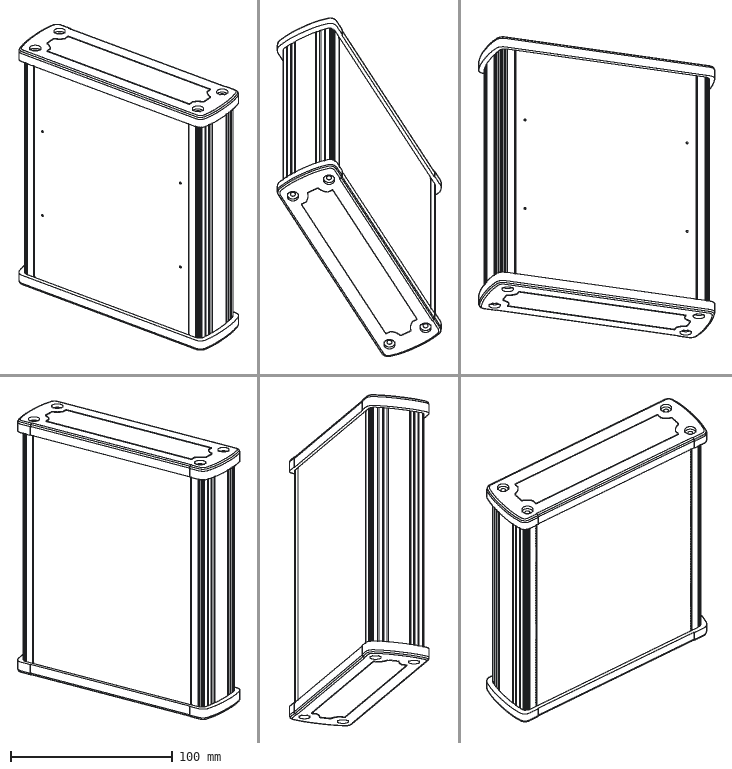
import cadquery as cq
import math

overall_width = 146.64
overall_depth = 41.6
overall_height = 169.0
cap_height = 7.6
body_height = overall_height - 2 * cap_height
cap_base_z = body_height / 2

cap_half_x = overall_width / 2
cap_half_y = overall_depth / 2
cap_straight_x = 66.8
cap_flat_y = 2.8
cap_side_end_x = 71.6
cap_side_end_y = 16.7

rim_height = 1.8
rim_width = 1.6
steep_bevel_height = 1.15
steep_bevel_width = 0.47
shallow_bevel_height = rim_height - steep_bevel_height
shallow_bevel_width = rim_width - steep_bevel_width
wall_height = cap_height - rim_height
shallow_bevel_z = wall_height + steep_bevel_height

relief_half_x = 59.9
relief_depth = 0.4

screw_x = 62.5
screw_y = 12.75
screw_diameter = 3.0
screw_head_diameter = 7.0
screw_head_depth = 2.2

label_half_x = 60.3
label_half_y = 11.1
label_shoulder_x = 54.7
label_screw_clearance = 9.3
label_depth = 0.4
label_corner_radius = 0.5

body_half_x = 69.9
body_half_y = 18.2
body_straight_x = 64.4
body_flat_y = 2.2
body_side_end_x = 68.3
body_side_end_y = 16.3

panel_groove_x = 59.4
panel_groove_width = 0.65
panel_groove_depth = 0.8
fine_groove_radius = 0.35
side_groove_ys = (7.4, 10.3, 13.4)
corner_groove_count = 4
channel_y = 8.95
channel_radius = 1.65
channel_depth = 0.3

pin_hole_x = 53.0
pin_hole_z = 30.2
pin_hole_diameter = 1.2
pin_hole_depth = 2.0

quadrants = [(sx, sy) for sx in (-1, 1) for sy in (-1, 1)]


def in_all_quadrants(x, y):
    return [(sx * x, sy * y) for sx, sy in quadrants]


screw_points = in_all_quadrants(screw_x, screw_y)


def tangent_arc_point(run, drop, fraction):
    """Step along and away from a straight line, on an arc that leaves the line tangentially.

    The whole arc runs along the line by run and falls away from it by drop.
    """
    radius = (run ** 2 + drop ** 2) / (2 * drop)
    angle = fraction * 2 * math.atan2(drop, run)
    return radius * math.sin(angle), radius * (1 - math.cos(angle))


class BowedOutline:
    """Long outline with straight front and back, bowed sides and rounded corners."""

    def __init__(self, half_x, half_y, straight_x, flat_y, side_end_x, side_end_y):
        self.half_x = half_x
        self.half_y = half_y
        self.straight_x = straight_x
        self.flat_y = flat_y
        self.side_end_x = side_end_x
        self.side_end_y = side_end_y

    def corner_point(self, fraction):
        """Point on the corner arc, from the straight edge to the side."""
        run, drop = tangent_arc_point(
            self.side_end_x - self.straight_x, self.half_y - self.side_end_y, fraction)
        return self.straight_x + run, self.half_y - drop

    def bow_point(self, fraction):
        """Point on the side arc, from the flat in the middle of the side to the corner."""
        run, drop = tangent_arc_point(
            self.side_end_y - self.flat_y, self.half_x - self.side_end_x, fraction)
        return self.half_x - drop, self.flat_y + run

    def side_x(self, y):
        """X of the side arc at distance y from the middle."""
        run = self.side_end_y - self.flat_y
        drop = self.half_x - self.side_end_x
        radius = (run ** 2 + drop ** 2) / (2 * drop)
        return self.half_x - radius + math.sqrt(radius ** 2 - (y - self.flat_y) ** 2)

    def add_side(self, sketch, sign):
        """Right side going up for sign 1, left side going down for sign -1."""

        def place(point, sy):
            return sign * point[0], sign * sy * point[1]

        corner_middle = self.corner_point(0.5)
        corner_end = (self.side_end_x, self.side_end_y)
        bow_middle = self.bow_point(0.5)
        flat_end = (self.half_x, self.flat_y)
        straight_end = (self.straight_x, self.half_y)
        sketch = sketch.threePointArc(place(corner_middle, -1), place(corner_end, -1))
        sketch = sketch.threePointArc(place(bow_middle, -1), place(flat_end, -1))
        sketch = sketch.lineTo(*place(flat_end, 1))
        sketch = sketch.threePointArc(place(bow_middle, 1), place(corner_end, 1))
        return sketch.threePointArc(place(corner_middle, 1), place(straight_end, 1))

    def wire(self):
        sketch = cq.Workplane("XY").moveTo(-self.straight_x, -self.half_y)
        sketch = sketch.lineTo(self.straight_x, -self.half_y)
        sketch = self.add_side(sketch, 1)
        sketch = sketch.lineTo(-self.straight_x, self.half_y)
        return self.add_side(sketch, -1).close()


cap_outline = BowedOutline(
    cap_half_x, cap_half_y, cap_straight_x, cap_flat_y, cap_side_end_x, cap_side_end_y)
body_outline = BowedOutline(
    body_half_x, body_half_y, body_straight_x, body_flat_y, body_side_end_x, body_side_end_y)


def bevel_layer(inset, width, height, base_z):
    """Layer of the cap that starts inset from the outline and narrows by width as it rises."""
    outline = cap_outline.wire()
    if inset > 0:
        outline = outline.offset2D(-inset)
    taper = math.degrees(math.atan2(width, height))
    return outline.extrude(height, taper=taper).translate((0, 0, base_z))


def cap_blank():
    blank = cap_outline.wire().extrude(wall_height)
    blank = blank.union(bevel_layer(0, steep_bevel_width, steep_bevel_height, wall_height))
    return blank.union(
        bevel_layer(steep_bevel_width, shallow_bevel_width, shallow_bevel_height, shallow_bevel_z))


def back_relief():
    """Cutter whose inner face follows the wall and both bevels of the cap back."""
    back = cap_half_y - relief_depth
    profile = cq.Workplane("YZ").moveTo(cap_half_y, 0).lineTo(back, 0).lineTo(back, wall_height)
    profile = profile.lineTo(back - steep_bevel_width, shallow_bevel_z)
    profile = profile.lineTo(back - rim_width, cap_height).lineTo(cap_half_y, cap_height).close()
    return profile.extrude(relief_half_x, both=True)


def label_recess():
    """Rectangle whose corners outside the shoulders are cut back around the screws."""
    plane = cq.Workplane("XY").workplane(offset=cap_height - label_depth)
    recess = plane.rect(2 * label_half_x, 2 * label_half_y).extrude(label_depth)
    middle = plane.rect(2 * label_shoulder_x, 2 * label_half_y).extrude(label_depth)
    clearance = plane.pushPoints(screw_points).circle(label_screw_clearance).extrude(label_depth)
    recess = recess.cut(clearance.cut(middle))
    return recess.edges("|Z and (<X or >X)").fillet(label_corner_radius)


def make_top_cap():
    cap = cap_blank().cut(back_relief()).cut(label_recess())
    cap = cap.faces(">Z").workplane(origin=(0, 0, cap_height)).pushPoints(screw_points)
    cap = cap.cboreHole(screw_diameter, screw_head_diameter, screw_head_depth)
    return cap.translate((0, 0, cap_base_z))


def fine_groove_points():
    """Fine groove centers: spaced down each side, then evenly around each corner."""
    points = []
    for y in side_groove_ys:
        points += in_all_quadrants(body_outline.side_x(y), y)
    for i in range(corner_groove_count):
        points += in_all_quadrants(*body_outline.corner_point((i + 0.5) / corner_groove_count))
    return points


def make_housing():
    body = body_outline.wire().extrude(body_height)
    base = cq.Workplane("XY")

    panel_grooves = base.pushPoints(in_all_quadrants(panel_groove_x, body_half_y))
    body = body.cut(panel_grooves.rect(panel_groove_width, 2 * panel_groove_depth).extrude(body_height))

    channel_x = body_outline.side_x(channel_y) - channel_depth + channel_radius
    channels = base.pushPoints(in_all_quadrants(channel_x, channel_y))
    body = body.cut(channels.circle(channel_radius).extrude(body_height))

    fine_grooves = base.pushPoints(fine_groove_points())
    body = body.cut(fine_grooves.circle(fine_groove_radius).extrude(body_height))

    screw_holes = base.pushPoints(screw_points)
    body = body.cut(screw_holes.circle(screw_diameter / 2).extrude(body_height))
    body = body.translate((0, 0, -cap_base_z))

    pin_plane = cq.Workplane("XZ").workplane(offset=body_half_y - pin_hole_depth)
    pin_holes = pin_plane.pushPoints(in_all_quadrants(pin_hole_x, pin_hole_z))
    return body.cut(pin_holes.circle(pin_hole_diameter / 2).extrude(pin_hole_depth))


housing = make_housing()
top_cap = make_top_cap()
bottom_cap = top_cap.mirror("XY")
result = cq.Compound.makeCompound([housing.val(), top_cap.val(), bottom_cap.val()])